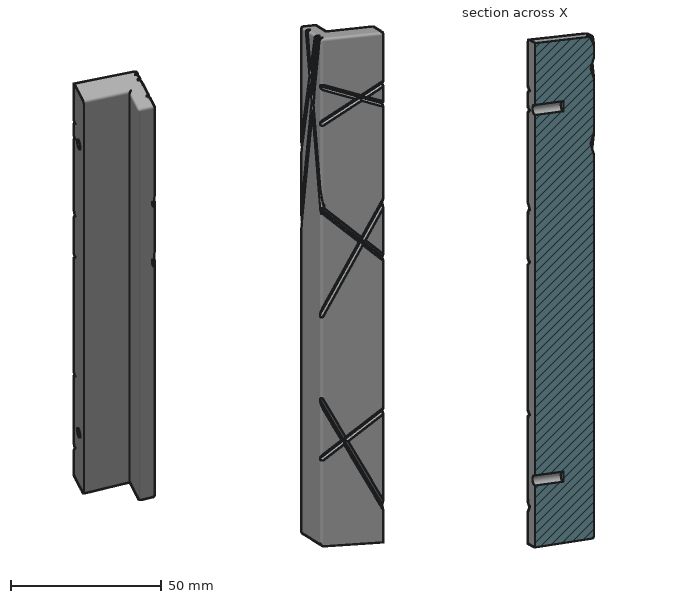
import cadquery as cq
import math

length = 174.5
width = 20.0
height = 22.0
leg_width = 10.5
lip_thickness = 6.0
draft_angle = 1.0
edge_radius = 1.0

hole_diameter = 3.3
hole_spacing = 128.0
hole_depth = 10.5

groove_width = 1.7
groove_depth = 1.2

side_grooves = [
    (62.8, 70.5),
    (69.8, 57.8),
    (10.3, 28.6),
    (29.0, -7.7),
    (-74.5, -37.0),
    (-42.2, -56.9),
]

draft_offset = height * math.tan(math.radians(draft_angle))
lip_underside = height - lip_thickness
half_length = length / 2

back_grooves = [
    (2.5, width, 17.5),
    (5.0, width, 43.6),
    (14.1, draft_offset, 28.6),
]


def handle_body():
    """L-section bar whose outer side and ends lean inwards away from the mounting face."""
    section = [
        (0, 0),
        (leg_width, 0),
        (leg_width, lip_underside),
        (width, lip_underside),
        (width, height),
        (draft_offset, height),
    ]
    bar = cq.Workplane("XY").polyline(section).close().extrude(half_length, both=True)
    end_outline = [
        (0, -half_length),
        (0, half_length),
        (height, half_length - draft_offset),
        (height, -half_length + draft_offset),
    ]
    envelope = cq.Workplane("YZ").polyline(end_outline).close().extrude(width)
    return bar.intersect(envelope)


def round_edges(body):
    """Round the edges, leaving the mounting face, inside corner and lower side edge sharp."""
    inside_corner = cq.selectors.NearestToPointSelector((leg_width, lip_underside, 0))
    lower_side_edge = cq.selectors.NearestToPointSelector((draft_offset / 2, height / 2, -half_length))
    sharp = body.faces("<Y").edges().vals()
    sharp += body.edges(inside_corner).vals()
    sharp += body.edges(lower_side_edge).vals()
    rounded = [edge for edge in body.edges().vals() if not any(edge.isSame(other) for other in sharp)]
    return body.newObject(rounded).fillet(edge_radius)


def vee_groove(start, end, outward):
    """V-shaped cutter between two points of a face, extended past both ends."""
    start = cq.Vector(*start)
    end = cq.Vector(*end)
    direction = (end - start).normalized()
    overrun = groove_width
    begin = start - direction * overrun
    run = (end - start).Length + 2 * overrun
    across = outward.cross(direction)
    clear = groove_depth
    half_mouth = groove_width / 2 * (groove_depth + clear) / groove_depth
    plane = cq.Plane(origin=begin, xDir=across, normal=direction)
    profile = [(0, -groove_depth), (half_mouth, clear), (-half_mouth, clear)]
    return cq.Workplane(plane).polyline(profile).close().extrude(run)


body = round_edges(handle_body())

side_normal = cq.Vector(-height, draft_offset, 0).normalized()
for front_z, back_z in side_grooves:
    body = body.cut(vee_groove((0, 0, front_z), (draft_offset, height, back_z), side_normal))

back_normal = cq.Vector(0, 1, 0)
for top_x, end_x, end_z in back_grooves:
    body = body.cut(vee_groove((top_x, height, half_length), (end_x, height, end_z), back_normal))

for hole_z in (-hole_spacing / 2, hole_spacing / 2):
    hole_mouth = cq.Workplane("XZ", origin=(leg_width / 2, 0, hole_z)).circle(hole_diameter / 2)
    body = body.cut(hole_mouth.extrude(-hole_depth))

result = body